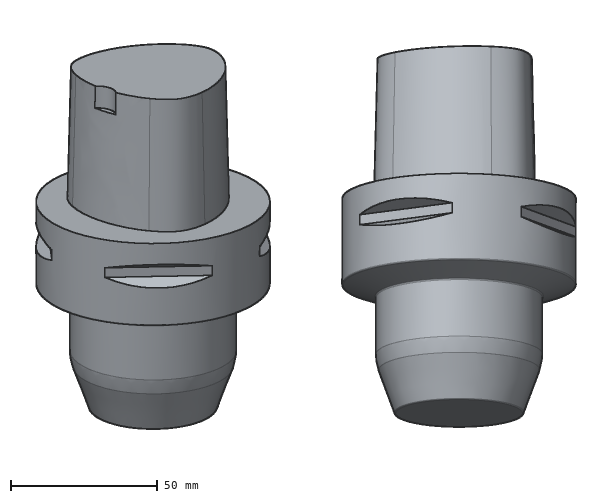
import cadquery as cq
import math

total_height = 123.0
shank_height = 48.0
flange_top = total_height - shank_height
flange_bottom = 45.0

flange_radius = 40.0
neck_radius = 28.5
flange_cone_angle = math.radians(20.0)
nose_cone_angle = math.radians(20.0)
nose_blend_radius = 16.0
nose_blend_top = 20.7
edge_round = 0.5

shank_base_width = 55.3
shank_taper = 1.0 / 20.0
lobe_eccentricity = 2.0
lobe_count = 3
lobe_half_angle = math.radians(33.3)
points_per_face = 9

groove_count = 4
groove_first_angle = 45.0
groove_depth_below_flange_top = 12.0
groove_center_height = flange_top - groove_depth_below_flange_top
groove_floor_distance = 35.55
groove_floor_width = 3.5
groove_flank_angle = math.radians(30.0)
groove_cutter_overshoot = 1.0

notch_radius = 6.5
notch_depth = 8.0
notch_inner_y = -22.2


def make_body():
    """Revolved flange, neck and conical nose."""
    neck_top = flange_bottom - (flange_radius - neck_radius) * math.tan(flange_cone_angle)

    def blend_point(angle):
        """Point on the rounded shoulder where the surface leans inward by the given angle."""
        radius = neck_radius - nose_blend_radius * (1 - math.cos(angle))
        return radius, nose_blend_top - nose_blend_radius * math.sin(angle)

    cone_radius, cone_top = blend_point(nose_cone_angle)
    nose_radius = cone_radius - cone_top * math.tan(nose_cone_angle)
    body = (
        cq.Workplane("XZ")
        .moveTo(0, 0)
        .lineTo(nose_radius, 0)
        .lineTo(cone_radius, cone_top)
        .threePointArc(blend_point(nose_cone_angle / 2), (neck_radius, nose_blend_top))
        .lineTo(neck_radius, neck_top)
        .lineTo(flange_radius, flange_bottom)
        .lineTo(flange_radius, flange_top)
        .lineTo(0, flange_top)
        .close()
        .revolve(360, (0, 0, 0), (0, 1, 0))
    )

    def edges_at(height):
        """Selector for the edges lying at the given height."""
        half_band = 0.1
        reach = 2 * flange_radius
        return cq.selectors.BoxSelector(
            (-reach, -reach, height - half_band), (reach, reach, height + half_band)
        )

    for height in (0, neck_top, flange_bottom):
        body = body.edges(edges_at(height)).fillet(edge_round)
    return body


def lobed_point(width, angle, height):
    """Point of the lobed outline whose outward normal points along the angle; one lobe is on +Y."""
    lobe_phase = lobe_count * (angle - math.pi / 2)
    reach = width / 2 + lobe_eccentricity * math.cos(lobe_phase)
    shift = -lobe_count * lobe_eccentricity * math.sin(lobe_phase)
    x = reach * math.cos(angle) - shift * math.sin(angle)
    y = reach * math.sin(angle) + shift * math.cos(angle)
    return cq.Vector(x, y, height)


def lobed_curve(width, height, start, end):
    """Smooth piece of the lobed outline between two normal directions."""
    step = (end - start) / (points_per_face - 1)
    points = [lobed_point(width, start + i * step, height) for i in range(points_per_face)]
    end_tangents = [cq.Vector(-math.sin(angle), math.cos(angle), 0) for angle in (start, end)]
    return cq.Edge.makeSpline(points, tangents=end_tangents)


def lobed_outline(width, height):
    """Closed outline made of one curve per lobe and one per flank."""
    lobe_spacing = 2 * math.pi / lobe_count
    curves = []
    for lobe in range(lobe_count):
        lobe_center = math.pi / 2 + lobe * lobe_spacing
        lobe_start = lobe_center - lobe_half_angle
        lobe_end = lobe_center + lobe_half_angle
        next_start = lobe_start + lobe_spacing
        curves.append(lobed_curve(width, height, lobe_start, lobe_end))
        curves.append(lobed_curve(width, height, lobe_end, next_start))
    return cq.Wire.assembleEdges(curves)


def make_shank():
    """Shank lofted from its wide base outline to its narrower top outline."""
    top_width = shank_base_width - shank_taper * shank_height
    base = lobed_outline(shank_base_width, flange_top)
    top = lobed_outline(top_width, total_height)
    return cq.Workplane(cq.Solid.makeLoft([base, top], True))


def make_groove(direction):
    """Straight cutter across the flange: flat floor with flanks that open outward."""
    outer_distance = flange_radius + groove_cutter_overshoot
    floor_half = groove_floor_width / 2
    mouth_half = floor_half + (outer_distance - groove_floor_distance) * math.tan(groove_flank_angle)
    return (
        cq.Workplane("XZ")
        .polyline([
            (groove_floor_distance, groove_center_height - floor_half),
            (outer_distance, groove_center_height - mouth_half),
            (outer_distance, groove_center_height + mouth_half),
            (groove_floor_distance, groove_center_height + floor_half),
        ])
        .close()
        .extrude(flange_radius, both=True)
        .rotate((0, 0, 0), (0, 0, 1), direction)
    )


def make_notch():
    """Upright round cutter on the flank facing -Y."""
    return (
        cq.Workplane("XY", origin=(0, notch_inner_y - notch_radius, total_height - notch_depth))
        .circle(notch_radius)
        .extrude(notch_depth)
    )


result = make_body().union(make_shank())
for groove in range(groove_count):
    result = result.cut(make_groove(groove_first_angle + groove * 360.0 / groove_count))
result = result.cut(make_notch())